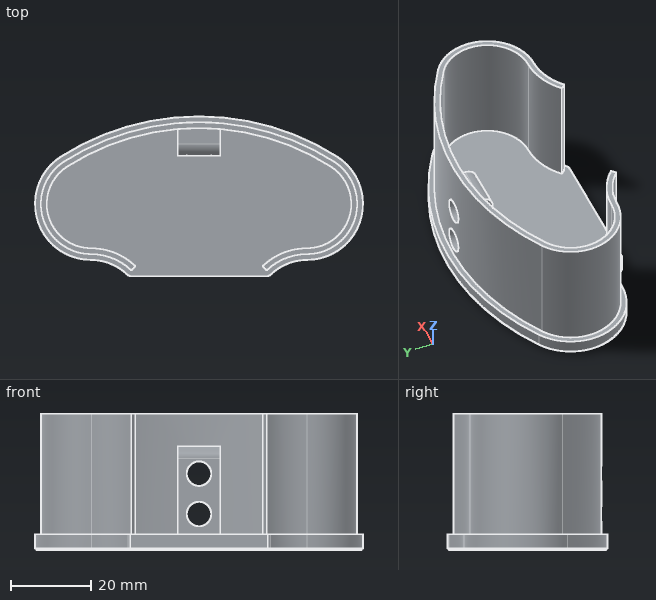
import cadquery as cq
import math

half_length = 40.8
end_radius = 14.0
end_x = half_length - end_radius
back_y = 21.8
front_y = -18.05
neck_radius = 13.0
neck_y = -end_radius - neck_radius
base_neck_angle = 45.0
front_edge_half = 17.1

back_radius = (end_x**2 + back_y**2 - end_radius**2) / (2 * (back_y - end_radius))
back_center_y = back_y - back_radius

base_height = 4.0
wall_height = 30.0
base_chamfer = 0.5

wall_thickness = 1.5
wall_margin = 1.5
wall_neck_angle = 44.0

block_width = 10.6
block_height = 21.9
block_front_y = 12.0
block_round = 3.0
hole_diameter = 6.05
hole_heights = (5.0, 15.0)


def half_points(inset, neck_angle):
    """Right-half points of the outline moved inward, from the back to the end of the neck arc."""
    end_r = end_radius - inset
    neck_r = neck_radius + inset
    tangent_angle = math.atan2(-back_center_y, end_x)
    mid_end_angle = (tangent_angle - math.pi / 2) / 2

    def on_end(angle):
        return (end_x + end_r * math.cos(angle), end_r * math.sin(angle))

    def on_neck(degrees):
        angle = math.radians(degrees)
        return (end_x - neck_r * math.sin(angle), neck_y + neck_r * math.cos(angle))

    return [
        (0, back_y - inset),
        on_end(tangent_angle),
        on_end(mid_end_angle),
        on_end(-math.pi / 2),
        on_neck(neck_angle / 2),
        on_neck(neck_angle),
    ]


def mirrored(point):
    return (-point[0], point[1])


def trace(sketch, points, reverse=False):
    """Draw the outline arcs from neck to neck, starting at the current point."""
    back, tangent, end_mid, end_low, neck_mid, neck_tip = points
    side = mirrored if reverse else tuple
    other = tuple if reverse else mirrored
    return (
        sketch.threePointArc(other(neck_mid), other(end_low))
        .threePointArc(other(end_mid), other(tangent))
        .threePointArc(back, side(tangent))
        .threePointArc(side(end_mid), side(end_low))
        .threePointArc(side(neck_mid), side(neck_tip))
    )


def make_base():
    points = half_points(0, base_neck_angle)
    sketch = cq.Workplane("XY").moveTo(*mirrored(points[-1]))
    sketch = trace(sketch, points)
    sketch = sketch.lineTo(front_edge_half, front_y).lineTo(-front_edge_half, front_y).close()
    return sketch.extrude(base_height).faces("<Z").chamfer(base_chamfer)


def make_wall():
    outer = half_points(wall_margin, wall_neck_angle)
    inner = half_points(wall_margin + wall_thickness, wall_neck_angle)
    sketch = cq.Workplane("XY").workplane(offset=base_height).moveTo(*mirrored(outer[-1]))
    sketch = trace(sketch, outer).lineTo(*inner[-1])
    return trace(sketch, inner, reverse=True).close().extrude(wall_height)


def make_block():
    block_back_y = back_y - wall_margin - wall_thickness / 2
    return (
        cq.Workplane("XY")
        .workplane(offset=base_height)
        .center(0, (block_front_y + block_back_y) / 2)
        .rect(block_width, block_back_y - block_front_y)
        .extrude(block_height)
        .edges(">Z and <Y")
        .fillet(block_round)
    )


def make_holes():
    return (
        cq.Workplane("XZ")
        .pushPoints([(0, base_height + height) for height in hole_heights])
        .circle(hole_diameter / 2)
        .extrude(-back_y)
    )


result = make_base().union(make_wall()).union(make_block()).cut(make_holes())